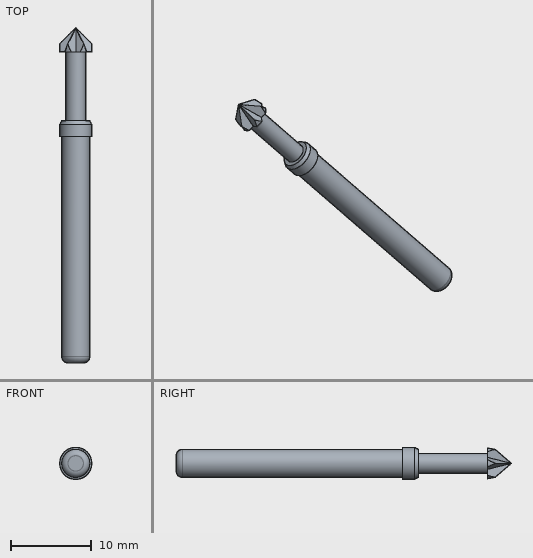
import cadquery as cq
import math

LENGTH = 41.5
TIP_Y = LENGTH / 2
REAR_Y = -LENGTH / 2

HEAD_RADIUS = 2.0
HEAD_LENGTH = 3.0
BLADE_COUNT = 6
RIDGE_SLOPE = 1.0
VALLEY_SLOPE = 0.5

PLUNGER_RADIUS = 1.25

COLLAR_RADIUS = HEAD_RADIUS
TIP_TO_COLLAR = 11.5
COLLAR_FRONT_Y = TIP_Y - TIP_TO_COLLAR
COLLAR_LENGTH = 2.0
COLLAR_CHAMFER_LENGTH = 0.5
BARREL_RADIUS = 1.75
REAR_FILLET = 0.8


def make_head():
    """Star-section pyramid whose blades are trimmed to a cylinder."""
    apex = cq.Vector(0, TIP_Y, 0)
    base_y = TIP_Y - HEAD_LENGTH
    rim = []
    for i in range(2 * BLADE_COUNT):
        slope = VALLEY_SLOPE if i % 2 else RIDGE_SLOPE
        radius = slope * HEAD_LENGTH
        angle = math.pi * i / BLADE_COUNT
        rim.append(cq.Vector(radius * math.cos(angle), base_y, radius * math.sin(angle)))
    faces = [cq.Face.makeFromWires(cq.Wire.makePolygon(rim, close=True))]
    for i, corner in enumerate(rim):
        side = cq.Wire.makePolygon([rim[i - 1], corner, apex], close=True)
        faces.append(cq.Face.makeFromWires(side))
    pyramid = cq.Workplane(cq.Solid.makeSolid(cq.Shell.makeShell(faces)))
    envelope = cq.Workplane("XZ", origin=(0, TIP_Y, 0)).circle(HEAD_RADIUS).extrude(HEAD_LENGTH)
    return pyramid.intersect(envelope)


def make_shaft():
    """Plunger, collar and barrel as one turned body."""
    collar_rear_y = COLLAR_FRONT_Y - COLLAR_LENGTH
    shaft = (
        cq.Workplane("XY")
        .moveTo(0, REAR_Y)
        .lineTo(BARREL_RADIUS - REAR_FILLET, REAR_Y)
        .radiusArc((BARREL_RADIUS, REAR_Y + REAR_FILLET), -REAR_FILLET)
        .lineTo(BARREL_RADIUS, collar_rear_y)
        .lineTo(COLLAR_RADIUS, collar_rear_y)
        .lineTo(COLLAR_RADIUS, COLLAR_FRONT_Y - COLLAR_CHAMFER_LENGTH)
        .lineTo(BARREL_RADIUS, COLLAR_FRONT_Y)
        .lineTo(PLUNGER_RADIUS, COLLAR_FRONT_Y)
        .lineTo(PLUNGER_RADIUS, TIP_Y - HEAD_LENGTH)
        .lineTo(0, TIP_Y - HEAD_LENGTH)
        .close()
    )
    return shaft.revolve(360, (0, 0, 0), (0, 1, 0))


result = make_shaft().union(make_head())